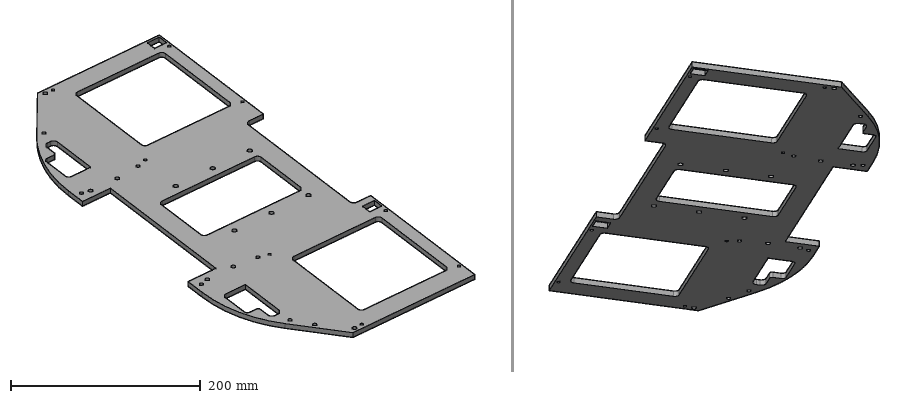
import cadquery as cq
import math

LENGTH = 536.0
WIDTH = 245.0
THICKNESS = 6.5
HALF_LENGTH = LENGTH / 2
BACK_Y = WIDTH / 2
FRONT_Y = -WIDTH / 2

BACK_NOTCH_HALF_WIDTH = 91.0
BACK_NOTCH_DEPTH = 24.0
BACK_NOTCH_RADIUS = 5.5
FRONT_NOTCH_HALF_WIDTH = 89.5
FRONT_NOTCH_DEPTH = 37.5

SLANT_START_Y = -42.0
SLANT_ANGLE = math.radians(39)
CORNER_RADIUS = 154.5

WINDOW_RADIUS = 5.0
SIDE_WINDOW_SIZE = 119.0
SIDE_WINDOW_X = 184.0
SIDE_WINDOW_Y = 47.5
CENTRE_WINDOW_WIDTH = 76.0
CENTRE_WINDOW_LENGTH = 134.0
CENTRE_WINDOW_Y = 6.5

SLOT_WIDTH = 12.5
SLOT_LENGTH = 16.0
SLOT_Y = 112.0
SLOT_XS = (-259.0, 106.5)

CUTOUT_INNER_X = 131.5
CUTOUT_STEP_X = 172.0
CUTOUT_OUTER_X = 193.0
CUTOUT_BACK_Y = -78.0
CUTOUT_STEP_Y = -92.5
CUTOUT_FRONT_Y = -109.0
CUTOUT_END_RADIUS = 5.5
CUTOUT_FRONT_RADIUS = 4.5
CUTOUT_STEP_RADIUS = 2.5

CENTRE_HOLE_DIAMETER = 5.5
CENTRE_HOLE_X = 50.0
CENTRE_HOLE_PITCH = 50.0
CENTRE_HOLE_MIDDLE_Y = 21.5

WINDOW_HOLE_DIAMETER = 3.4
WINDOW_BACK_HOLE_SPACING = 124.5
WINDOW_BACK_HOLE_Y = 118.5
WINDOW_FRONT_HOLE_SPACING = 156.5
WINDOW_FRONT_HOLE_Y = -25.0

WIDE_HOLE_DIAMETER = 4.95
WIDE_HOLES = [(262.5, -35.5), (98.5, -68.5), (99.0, -104.0)]
NARROW_HOLE_DIAMETER = 4.5
NARROW_HOLES = [(102.0, -38.0), (102.0, -114.0), (209.0, -80.0)]

EXTRA_HOLE = (231.5, -64.5)


def mirrored(points):
    """Return the points together with their mirror images about X = 0."""
    return points + [(-x, y) for x, y in points]


def through_holes(points, diameter):
    return cq.Workplane("XY").pushPoints(points).circle(diameter / 2).extrude(THICKNESS)


def rounded_window(x, y, size_x, size_y):
    window = cq.Workplane("XY").center(x, y).rect(size_x, size_y).extrude(THICKNESS)
    return window.edges("|Z").fillet(WINDOW_RADIUS)


def half_plate():
    """The +X half of the plate outline, with its back notch corner rounded."""
    meeting_x = HALF_LENGTH - (SLANT_START_Y - FRONT_Y) / math.tan(SLANT_ANGLE)
    tangent_length = CORNER_RADIUS * math.tan(SLANT_ANGLE / 2)
    arc_end_x = meeting_x - tangent_length
    arc_start = (
        meeting_x + tangent_length * math.cos(SLANT_ANGLE),
        FRONT_Y + tangent_length * math.sin(SLANT_ANGLE),
    )
    arc_middle = (
        arc_end_x + CORNER_RADIUS * math.sin(SLANT_ANGLE / 2),
        FRONT_Y + CORNER_RADIUS * (1 - math.cos(SLANT_ANGLE / 2)),
    )
    notch_floor_y = BACK_Y - BACK_NOTCH_DEPTH
    outline = (
        cq.Workplane("XY")
        .moveTo(0, notch_floor_y)
        .lineTo(BACK_NOTCH_HALF_WIDTH, notch_floor_y)
        .lineTo(BACK_NOTCH_HALF_WIDTH, BACK_Y)
        .lineTo(HALF_LENGTH, BACK_Y)
        .lineTo(HALF_LENGTH, SLANT_START_Y)
        .lineTo(*arc_start)
        .threePointArc(arc_middle, (arc_end_x, FRONT_Y))
        .lineTo(FRONT_NOTCH_HALF_WIDTH, FRONT_Y)
        .lineTo(FRONT_NOTCH_HALF_WIDTH, FRONT_Y + FRONT_NOTCH_DEPTH)
        .lineTo(0, FRONT_Y + FRONT_NOTCH_DEPTH)
        .close()
    )
    notch_corner = cq.selectors.NearestToPointSelector(
        (BACK_NOTCH_HALF_WIDTH, notch_floor_y, THICKNESS / 2)
    )
    return outline.extrude(THICKNESS).edges("|Z").edges(notch_corner).fillet(BACK_NOTCH_RADIUS)


def stepped_cutout():
    """The +X stepped cutout; its back inner corner stays sharp."""
    cutout = (
        cq.Workplane("XY")
        .moveTo(CUTOUT_INNER_X, CUTOUT_BACK_Y)
        .lineTo(CUTOUT_OUTER_X, CUTOUT_BACK_Y)
        .lineTo(CUTOUT_OUTER_X, CUTOUT_STEP_Y)
        .lineTo(CUTOUT_STEP_X, CUTOUT_STEP_Y)
        .lineTo(CUTOUT_STEP_X, CUTOUT_FRONT_Y)
        .lineTo(CUTOUT_INNER_X, CUTOUT_FRONT_Y)
        .close()
        .extrude(THICKNESS)
    )
    step_corner = cq.selectors.NearestToPointSelector((CUTOUT_STEP_X, CUTOUT_STEP_Y, THICKNESS / 2))
    cutout = cutout.edges("|Z").edges(step_corner).fillet(CUTOUT_STEP_RADIUS)
    cutout = cutout.faces(">X").edges("|Z").fillet(CUTOUT_END_RADIUS)
    return cutout.faces("<Y").edges("|Z").fillet(CUTOUT_FRONT_RADIUS)


right_half = half_plate()
plate = right_half.union(right_half.mirror("YZ")).clean()

plate = plate.cut(rounded_window(0, CENTRE_WINDOW_Y, CENTRE_WINDOW_WIDTH, CENTRE_WINDOW_LENGTH))
for window_x in (-SIDE_WINDOW_X, SIDE_WINDOW_X):
    plate = plate.cut(rounded_window(window_x, SIDE_WINDOW_Y, SIDE_WINDOW_SIZE, SIDE_WINDOW_SIZE))

slot_centres = [(x, SLOT_Y) for x in SLOT_XS]
slots = cq.Workplane("XY").pushPoints(slot_centres).rect(SLOT_WIDTH, SLOT_LENGTH).extrude(THICKNESS)
plate = plate.cut(slots)

cutout = stepped_cutout()
plate = plate.cut(cutout).cut(cutout.mirror("YZ"))

centre_holes = [(CENTRE_HOLE_X, CENTRE_HOLE_MIDDLE_Y + row * CENTRE_HOLE_PITCH) for row in (-1, 0, 1)]
window_holes = []
for side in (-1, 1):
    window_holes.append((SIDE_WINDOW_X + side * WINDOW_BACK_HOLE_SPACING / 2, WINDOW_BACK_HOLE_Y))
    window_holes.append((SIDE_WINDOW_X + side * WINDOW_FRONT_HOLE_SPACING / 2, WINDOW_FRONT_HOLE_Y))

plate = plate.cut(through_holes(mirrored(centre_holes), CENTRE_HOLE_DIAMETER))
plate = plate.cut(through_holes(mirrored(window_holes), WINDOW_HOLE_DIAMETER))
plate = plate.cut(through_holes(mirrored(WIDE_HOLES), WIDE_HOLE_DIAMETER))
plate = plate.cut(through_holes(mirrored(NARROW_HOLES) + [EXTRA_HOLE], NARROW_HOLE_DIAMETER))

result = plate